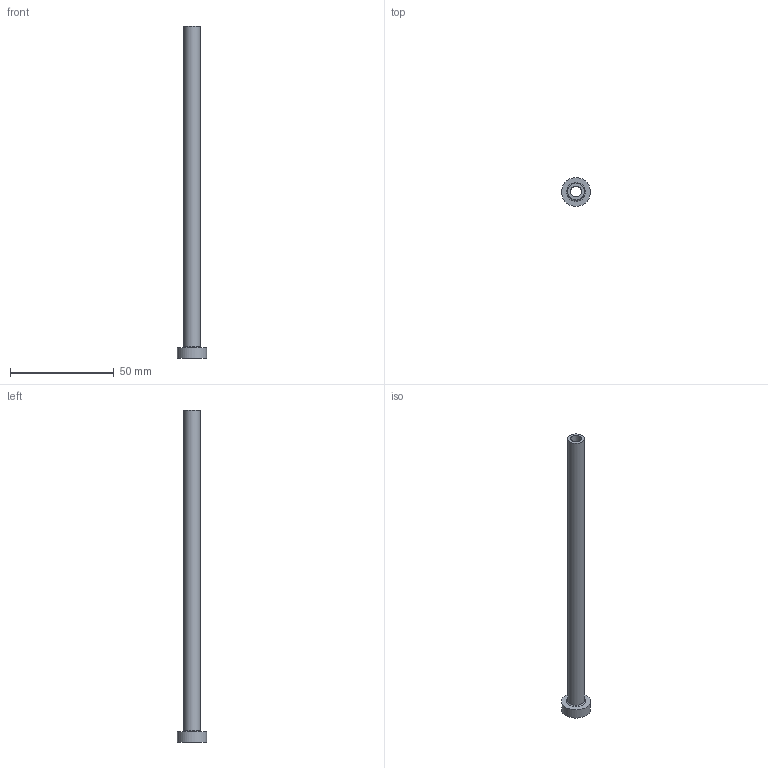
import cadquery as cq

total_length = 160.0
head_diameter = 14.0
head_height = 5.0
shank_diameter = 8.0
bore_diameter = 5.2
neck_fillet_radius = 0.5


def make_head():
    """Flat disc at the base of the sleeve."""
    return cq.Workplane("XY").circle(head_diameter / 2).extrude(head_height)


def add_shank(body):
    """Long round shank standing on the head."""
    shank = cq.Workplane("XY").circle(shank_diameter / 2).extrude(total_length)
    return body.union(shank)


def fillet_neck(body):
    """Round the inside corner where the shank meets the head."""
    neck_reach = shank_diameter / 2 + neck_fillet_radius
    neck_box = cq.selectors.BoxSelector(
        (-neck_reach, -neck_reach, head_height - neck_fillet_radius),
        (neck_reach, neck_reach, head_height + neck_fillet_radius),
        boundingbox=True,
    )
    return body.edges(neck_box).fillet(neck_fillet_radius)


def cut_bore(body):
    """Plain bore through the full length."""
    bore = cq.Workplane("XY").circle(bore_diameter / 2).extrude(total_length)
    return body.cut(bore)


result = cut_bore(fillet_neck(add_shank(make_head())))